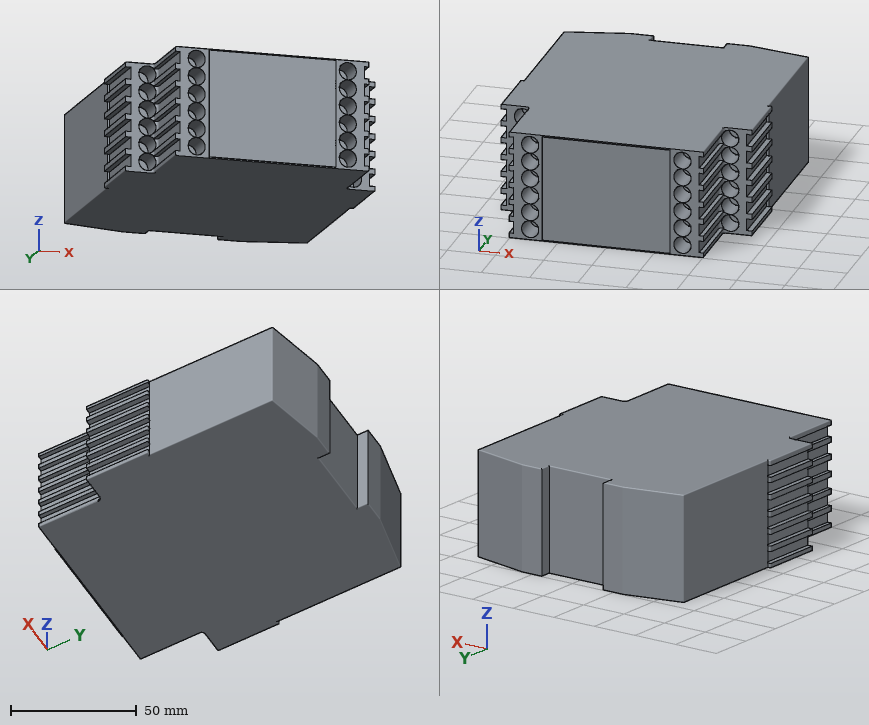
import cadquery as cq

OVERALL_WIDTH = 104.2
OVERALL_LENGTH = 120.0
HEIGHT = 45.0
BACK_Y = OVERALL_LENGTH / 2

PANEL_WIDTH = 52.9
PANEL_RAISE = 0.5
PANEL_INSET = 0.5
FRONT_Y = BACK_Y - OVERALL_LENGTH + PANEL_RAISE

TERMINAL_HALF = OVERALL_WIDTH / 2
BODY_HALF = 50.8
NOSE_HALF = 40.3

TERMINAL_BACK_Y = -2.4
STEP_Y = -30.6
SHOULDER_Y = 54.4

RAIL_HALF = 15.1
RAIL_FLOOR_Y = 55.0
SLOPE_START_HALF = 24.8

EDGE_RADIUS = 0.5
STEP_CORNER_RADIUS = 1.5
TOLERANCE = 0.01

TERMINAL_COUNT = 6
TERMINAL_PITCH = 7.2
CHANNEL_WIDTH = 4.9
TERMINAL_CHANNEL_DEPTH = 2.3
NOSE_CHANNEL_DEPTH = 1.8
HOLE_DIAMETER = 7.1
HOLE_DEPTH = 12.0
STEP_HOLE_X = 43.0
NOSE_HOLE_X = 31.5


def terminal_heights():
    """Z of each terminal, centred on the housing."""
    middle = (TERMINAL_COUNT - 1) / 2
    return [(i - middle) * TERMINAL_PITCH for i in range(TERMINAL_COUNT)]


def is_front_rim(edge):
    """True for the straight rim edges of the nose front and of the two steps."""
    box = edge.BoundingBox()
    return box.ylen < TOLERANCE and box.ymax < STEP_Y + TOLERANCE


def make_housing():
    """Stepped housing with rounded edges everywhere except on its front faces."""
    right_half = [
        (NOSE_HALF, FRONT_Y),
        (NOSE_HALF, STEP_Y),
        (TERMINAL_HALF, STEP_Y),
        (TERMINAL_HALF, TERMINAL_BACK_Y),
        (BODY_HALF, TERMINAL_BACK_Y),
        (BODY_HALF, SHOULDER_Y),
        (SLOPE_START_HALF, BACK_Y),
        (RAIL_HALF, BACK_Y),
        (RAIL_HALF, RAIL_FLOOR_Y),
    ]
    left_half = [(-x, y) for x, y in reversed(right_half)]
    housing = (
        cq.Workplane("XY", origin=(0, 0, -HEIGHT / 2))
        .polyline(right_half + left_half)
        .close()
        .extrude(HEIGHT)
    )

    outer_corners = [(TERMINAL_HALF, TERMINAL_BACK_Y), (BODY_HALF, SHOULDER_Y)]
    for x, y in outer_corners:
        for side in (-1, 1):
            corner = cq.selectors.NearestToPointSelector((side * x, y, 0))
            housing = housing.edges("|Z").edges(corner).fillet(EDGE_RADIUS)

    rims = housing.faces("<Z or >Z").edges().filter(lambda edge: not is_front_rim(edge))
    housing = housing.newObject(rims.vals()).fillet(EDGE_RADIUS)

    for side in (-1, 1):
        corner = cq.selectors.NearestToPointSelector((side * NOSE_HALF, STEP_Y, 0))
        housing = housing.edges("|Z").edges(corner).fillet(STEP_CORNER_RADIUS)
    return housing


def make_panel():
    """Raised label panel on the front."""
    return (
        cq.Workplane("XZ", origin=(0, FRONT_Y, 0))
        .rect(PANEL_WIDTH, HEIGHT - 2 * PANEL_INSET)
        .extrude(PANEL_RAISE)
    )


def side_channel(floor_x, outer_x, front_y, back_y):
    """Cutter for one channel on the +X side, at mid height."""
    return cq.Workplane("XY", origin=(floor_x, front_y, -CHANNEL_WIDTH / 2)).box(
        outer_x - floor_x, back_y - front_y, CHANNEL_WIDTH, centered=False
    )


def front_hole(x, front_y):
    """Cutter for one screw hole drilled toward +Y, at mid height."""
    return (
        cq.Workplane("XZ", origin=(x, front_y, 0))
        .circle(HOLE_DIAMETER / 2)
        .extrude(-HOLE_DEPTH)
    )


def make_terminal_cutters():
    """Channels and holes of one terminal on the +X side, at mid height."""
    terminal_channel = side_channel(
        TERMINAL_HALF - TERMINAL_CHANNEL_DEPTH, TERMINAL_HALF, STEP_Y, TERMINAL_BACK_Y
    )
    nose_channel = side_channel(
        NOSE_HALF - NOSE_CHANNEL_DEPTH, NOSE_HALF + STEP_CORNER_RADIUS, FRONT_Y, STEP_Y
    )
    nose_channel = nose_channel.edges("|Z and <X and >Y").fillet(STEP_CORNER_RADIUS)
    step_hole_y = STEP_Y - STEP_CORNER_RADIUS
    return [
        terminal_channel,
        nose_channel,
        front_hole(STEP_HOLE_X, step_hole_y),
        front_hole(NOSE_HOLE_X, FRONT_Y),
    ]


result = make_housing().union(make_panel())
for cutter in make_terminal_cutters():
    for z in terminal_heights():
        right_cutter = cutter.translate((0, 0, z))
        result = result.cut(right_cutter).cut(right_cutter.mirror("YZ"))